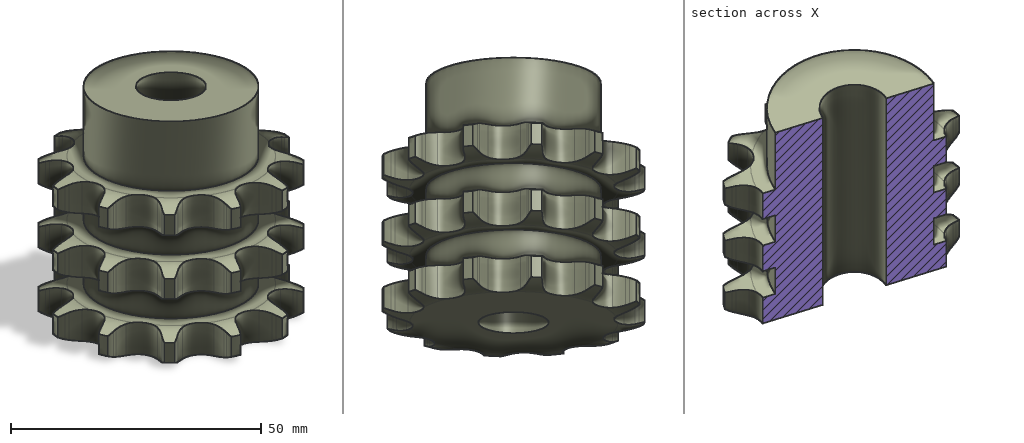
import cadquery as cq
import math


CHAIN_PITCH = 12.7
ROLLER_DIAMETER = 8.51
ROW_SPACING = 13.92

TOOTH_COUNT = 12
ROW_COUNT = 3
TOOTH_WIDTH = 7.0
TIP_DIAMETER = 53.0
HUB_DIAMETER = 35.0
BORE_DIAMETER = 14.0
TOTAL_LENGTH = 50.0

RELIEF_RADIUS = 13.0
RELIEF_DEPTH = 1.3

CUT_MARGIN = 2.0

TOOTH_ANGLE = 360.0 / TOOTH_COUNT
PITCH_RADIUS = CHAIN_PITCH / 2 / math.sin(math.radians(TOOTH_ANGLE / 2))
TIP_RADIUS = TIP_DIAMETER / 2


def polar(center, radius, degrees):
    """Point at a distance and direction from a center."""
    angle = math.radians(degrees)
    return (center[0] + radius * math.cos(angle), center[1] + radius * math.sin(angle))


def mirrored(point):
    """Point reflected across the center line of the tooth gap."""
    return (-point[0], point[1])


def tooth_gap():
    """Cutter for one gap, centered on +Y, with the standard ASA roller-chain tooth form.

    From the root outwards each flank is a seating arc, a hollow working arc,
    a short straight and a convex topping arc.
    """
    seat_center = (0, PITCH_RADIUS)
    seat_radius = (1.0005 * ROLLER_DIAMETER + 0.076) / 2
    seat_angle = 35 + 60 / TOOTH_COUNT
    working_sweep = 18 - 56 / TOOTH_COUNT
    topping_angle = 17 - 64 / TOOTH_COUNT
    working_radius = 1.3025 * ROLLER_DIAMETER + 0.038
    working_offset = 0.8 * ROLLER_DIAMETER
    topping_offset = 1.4 * ROLLER_DIAMETER
    working_center = polar(seat_center, working_offset, seat_angle)
    topping_center = polar(seat_center, topping_offset, 180 + TOOTH_ANGLE / 2)
    topping_reach = topping_offset * math.sin(math.radians(topping_angle))
    straight_length = topping_reach - working_offset * math.sin(math.radians(working_sweep))

    straight_angle = seat_angle - working_sweep
    root = (0, PITCH_RADIUS - seat_radius)
    seat_end = polar(seat_center, seat_radius, 180 + seat_angle)
    working_middle = polar(working_center, working_radius, 180 + seat_angle - working_sweep / 2)
    working_end = polar(working_center, working_radius, 180 + straight_angle)
    straight_end = polar(working_end, straight_length, 90 + straight_angle)

    topping_x = straight_end[0] - topping_center[0]
    topping_y = straight_end[1] - topping_center[1]
    topping_radius = math.hypot(topping_x, topping_y)
    topping_start = math.degrees(math.atan2(topping_y, topping_x))
    outer_y = TIP_RADIUS + CUT_MARGIN
    topping_stop = math.degrees(math.asin((outer_y - topping_center[1]) / topping_radius))
    topping_middle = polar(topping_center, topping_radius, (topping_start + topping_stop) / 2)
    topping_end = polar(topping_center, topping_radius, topping_stop)

    return (
        cq.Workplane("XY")
        .moveTo(*topping_end)
        .threePointArc(topping_middle, straight_end)
        .lineTo(*working_end)
        .threePointArc(working_middle, seat_end)
        .threePointArc(root, mirrored(seat_end))
        .threePointArc(mirrored(working_middle), mirrored(working_end))
        .lineTo(*mirrored(straight_end))
        .threePointArc(mirrored(topping_middle), mirrored(topping_end))
        .close()
        .extrude(TOOTH_WIDTH)
    )


def row_blank():
    """Disc whose two faces curve down to the tooth tips."""
    relief_length = math.sqrt(RELIEF_RADIUS**2 - (RELIEF_RADIUS - RELIEF_DEPTH) ** 2)
    flat_radius = TIP_RADIUS - relief_length
    half_sweep = math.degrees(math.asin(relief_length / RELIEF_RADIUS)) / 2
    lower_middle = polar((flat_radius, RELIEF_RADIUS), RELIEF_RADIUS, half_sweep - 90)
    upper_middle = polar((flat_radius, TOOTH_WIDTH - RELIEF_RADIUS), RELIEF_RADIUS, 90 - half_sweep)
    return (
        cq.Workplane("XZ")
        .lineTo(flat_radius, 0)
        .threePointArc(lower_middle, (TIP_RADIUS, RELIEF_DEPTH))
        .lineTo(TIP_RADIUS, TOOTH_WIDTH - RELIEF_DEPTH)
        .threePointArc(upper_middle, (flat_radius, TOOTH_WIDTH))
        .lineTo(0, TOOTH_WIDTH)
        .close()
        .revolve(360, (0, 0, 0), (0, 1, 0))
    )


def toothed_row():
    """One row of teeth, with a gap centered on every axis direction."""
    row = row_blank()
    gap = tooth_gap()
    for index in range(TOOTH_COUNT):
        row = row.cut(gap.rotate((0, 0, 0), (0, 0, 1), index * TOOTH_ANGLE))
    return row


def sprocket():
    """Hub carrying the toothed rows, bored through."""
    body = cq.Workplane("XY").circle(HUB_DIAMETER / 2).extrude(TOTAL_LENGTH)
    row = toothed_row()
    for index in range(ROW_COUNT):
        body = body.union(row.translate((0, 0, index * ROW_SPACING)))
    bore = cq.Workplane("XY").circle(BORE_DIAMETER / 2).extrude(TOTAL_LENGTH)
    return body.cut(bore)


result = sprocket()